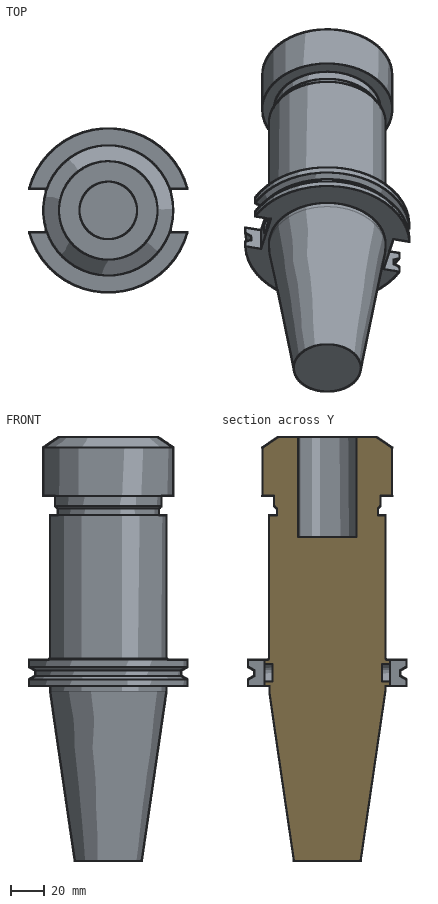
import cadquery as cq
import math

gauge_diameter = 69.85
gauge_radius = gauge_diameter / 2
taper_length = 101.6
taper_ratio = 7 / 24
taper_end_radius = gauge_radius - taper_length * taper_ratio / 2

flange_diameter = 98.425
flange_radius = flange_diameter / 2
flange_bottom = 3.175
flange_top = 19.05

groove_floor_radius = 45.7
groove_floor_width = 3.3
groove_flank_angle = 30
groove_center = 10.9
groove_depth = flange_radius - groove_floor_radius
groove_half_floor = groove_floor_width / 2
groove_half_mouth = groove_half_floor + groove_depth * math.tan(math.radians(groove_flank_angle))

slot_width = 25.908
slot_floor_distance = 37.7
slot_hole_diameter = 10
slot_hole_depth = 4.8
flange_middle = (flange_bottom + flange_top) / 2

body_radius = 35
body_top = 105.5
foot_bevel = 0.7

neck_radius = 30.4
neck_top = 109.4
collar_radius = 32
collar_chamfer = collar_radius - neck_radius

nut_top = 152.4
nut_radius = 39
nut_height = 35.4
nut_face_radius = 29.5
nut_bevel_height = 6.4
nut_bottom = nut_top - nut_height

bore_diameter = 34.5
bore_depth = 60


def make_turned_body():
    """Revolve the half profile of the whole holder about Z."""
    profile = [
        (0, -taper_length),
        (taper_end_radius, -taper_length),
        (gauge_radius, 0),
        (gauge_radius, flange_bottom),
        (flange_radius, flange_bottom),
        (flange_radius, groove_center - groove_half_mouth),
        (groove_floor_radius, groove_center - groove_half_floor),
        (groove_floor_radius, groove_center + groove_half_floor),
        (flange_radius, groove_center + groove_half_mouth),
        (flange_radius, flange_top),
        (body_radius + foot_bevel, flange_top),
        (body_radius, flange_top + foot_bevel),
        (body_radius, body_top),
        (neck_radius, body_top),
        (neck_radius, neck_top),
        (collar_radius, neck_top + collar_chamfer),
        (collar_radius, nut_bottom),
        (nut_radius, nut_bottom),
        (nut_radius, nut_top - nut_bevel_height),
        (nut_face_radius, nut_top),
        (0, nut_top),
    ]
    return cq.Workplane("XZ").polyline(profile).close().revolve(360, (0, 0), (0, 1))


def make_slot_cutter(side):
    """Drive slot through the flange with its floor hole; side is -1 or +1 along X."""
    slot_depth = flange_radius - slot_floor_distance
    slot = (
        cq.Workplane("XY")
        .box(slot_depth, slot_width, flange_top - flange_bottom)
        .translate((side * (slot_floor_distance + slot_depth / 2), 0, flange_middle))
    )
    hole = (
        cq.Workplane("YZ", origin=(side * slot_floor_distance, 0, flange_middle))
        .circle(slot_hole_diameter / 2)
        .extrude(-side * slot_hole_depth)
    )
    return slot.union(hole)


def make_bore_cutter():
    """Blind collet bore entering from the nut face."""
    bore_mouth = cq.Workplane("XY", origin=(0, 0, nut_top))
    return bore_mouth.circle(bore_diameter / 2).extrude(-bore_depth)


result = make_turned_body().cut(make_bore_cutter())
for slot_side in (-1, 1):
    result = result.cut(make_slot_cutter(slot_side))